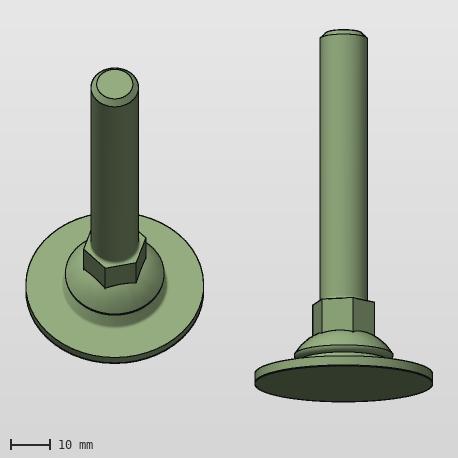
import cadquery as cq
import math

DISC_DIAMETER = 45.0
DISC_RADIUS = DISC_DIAMETER / 2
PAD_THICKNESS = 0.3

BASE_TOP_Z = 2.6
COLLAR_TOP_RADIUS = 11.0
COLLAR_TOP_Z = 6.0
COLLAR_SLOPE = math.radians(56)
FOOT_OUTER_RADIUS = 13.85
FOOT_FILLET = 0.9

CAP_RADIUS = 12.5
CAP_RIM_ROUND = 1.5
DOME_TOP_RADIUS = 6.1
DOME_TOP_Z = 12.85
DOME_RADIUS = 11.8

STUD_TOP_Z = 90.5
HEX_ACROSS_FLATS = 13.9
HEX_ACROSS_CORNERS = HEX_ACROSS_FLATS / math.cos(math.radians(30))
HEX_TOP_Z = 20.7
ROD_DIAMETER = 12.0
ROD_RADIUS = ROD_DIAMETER / 2
ROD_FILLET = 0.8
TIP_CHAMFER = 1.45


def revolve_about_z(profile):
    """Turn a closed radius-height profile in the XZ plane into a solid."""
    return profile.close().revolve(360, (0, 0, 0), (0, 1, 0))


def make_hexagon(bottom_z, top_z):
    """Hexagonal prism with two corners on the X axis."""
    return (
        cq.Workplane("XY")
        .workplane(offset=bottom_z)
        .polygon(6, HEX_ACROSS_CORNERS)
        .extrude(top_z - bottom_z)
    )


def make_pad():
    return cq.Workplane("XY").circle(DISC_RADIUS).extrude(PAD_THICKNESS)


def make_base():
    foot_top_radius = FOOT_OUTER_RADIUS - FOOT_FILLET * math.sin(COLLAR_SLOPE)
    foot_top_z = BASE_TOP_Z + FOOT_FILLET * (1 - math.cos(COLLAR_SLOPE))
    return revolve_about_z(
        cq.Workplane("XZ")
        .moveTo(0, PAD_THICKNESS)
        .lineTo(DISC_RADIUS, PAD_THICKNESS)
        .lineTo(DISC_RADIUS, BASE_TOP_Z)
        .lineTo(FOOT_OUTER_RADIUS, BASE_TOP_Z)
        .radiusArc((foot_top_radius, foot_top_z), FOOT_FILLET)
        .lineTo(COLLAR_TOP_RADIUS, COLLAR_TOP_Z)
        .lineTo(0, COLLAR_TOP_Z)
    )


def make_cap():
    rim_z = COLLAR_TOP_Z + CAP_RIM_ROUND
    dome = revolve_about_z(
        cq.Workplane("XZ")
        .moveTo(0, COLLAR_TOP_Z)
        .lineTo(CAP_RADIUS - CAP_RIM_ROUND, COLLAR_TOP_Z)
        .radiusArc((CAP_RADIUS, rim_z), -CAP_RIM_ROUND)
        .radiusArc((DOME_TOP_RADIUS, DOME_TOP_Z), -DOME_RADIUS)
        .lineTo(0, DOME_TOP_Z)
    )
    return dome.cut(make_hexagon(COLLAR_TOP_Z, DOME_TOP_Z))


def make_stud():
    hexagon = make_hexagon(COLLAR_TOP_Z, HEX_TOP_Z)
    rod = revolve_about_z(
        cq.Workplane("XZ")
        .moveTo(0, HEX_TOP_Z)
        .lineTo(ROD_RADIUS + ROD_FILLET, HEX_TOP_Z)
        .radiusArc((ROD_RADIUS, HEX_TOP_Z + ROD_FILLET), ROD_FILLET)
        .lineTo(ROD_RADIUS, STUD_TOP_Z - TIP_CHAMFER)
        .lineTo(ROD_RADIUS - TIP_CHAMFER, STUD_TOP_Z)
        .lineTo(0, STUD_TOP_Z)
    )
    return hexagon.union(rod)


pad = make_pad()
base = make_base()
cap = make_cap()
stud = make_stud()

result = cq.Compound.makeCompound([pad.val(), base.val(), cap.solids().val(), stud.solids().val()])